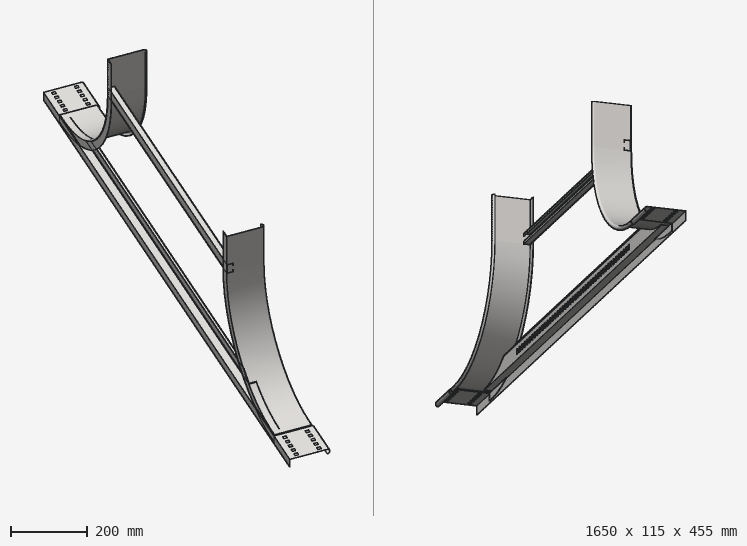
import cadquery as cq

SHEET = 1.5
RAIL_SHEET = 2.0
FLANGE_WIDTH = 25.0

LENGTH = 1650.0
DEPTH = 115.0
BASE_TOP = 26.0
BASE_CURL_RADIUS = 8.0
END_PLATE_LENGTH = 105.0

END_SLOT_COUNT = 5
END_SLOT_SPAN = 76.0
SLOT_WIDTH = 8.0
END_SLOT_DEPTH = 10.0
END_SLOT_OFFSET = 51.0
END_SLOT_ROWS = (25.0, 89.0)

WEB_BACK = 25.0
WEB_TOP = 70.0
WEB_FLANGE_TOP = WEB_TOP + FLANGE_WIDTH
WEB_SLOT_COUNT = 45
WEB_SLOT_SPAN = 881.0
WEB_SLOT_HEIGHT = 15.0

HEIGHT = 455.0
RAIL_X = 400.0
RAIL_RADIUS = 300.0
RAIL_FOOT_TOP = 30.0
RAIL_FRONT = SHEET
FITTING_FRONT = RAIL_FRONT + RAIL_SHEET
RAIL_BACK = 110.0
RAIL_CURL_RADIUS = 7.0
RAIL_FOOT_END = LENGTH / 2 - END_PLATE_LENGTH
BEND_X = RAIL_X + RAIL_RADIUS
BEND_Z = RAIL_FOOT_TOP + RAIL_RADIUS

RUNG_DEPTH = 18.0
RUNG_HEIGHT = 30.0
RUNG_LIP = 8.0
RUNG_HALF_LENGTH = RAIL_X - RAIL_SHEET


def side_section(x, front, back, top, bottom, curl_radius, sheet):
    """YZ section at x: a flange hanging at the front, a flat plate and a half-round curl at the back."""
    curl_y = back - curl_radius
    inner_radius = curl_radius - sheet
    curl_z = top - curl_radius
    return (
        cq.Workplane("YZ", origin=(x, 0, 0))
        .moveTo(front, top)
        .lineTo(curl_y, top)
        .threePointArc((back, curl_z), (curl_y, curl_z - curl_radius))
        .lineTo(curl_y, curl_z - inner_radius)
        .threePointArc((back - sheet, curl_z), (curl_y, top - sheet))
        .lineTo(front + sheet, top - sheet)
        .lineTo(front + sheet, bottom)
        .lineTo(front, bottom)
        .close()
    )


def bend_cylinder(side, radius, front, back):
    """Solid disc about the bend axis of one rail, between two Y positions."""
    return (
        cq.Workplane("XZ", origin=(side * BEND_X, front, BEND_Z))
        .circle(radius)
        .extrude(front - back)
    )


def make_left_end_plate():
    plate = side_section(-LENGTH / 2, 0, DEPTH, BASE_TOP, 0, BASE_CURL_RADIUS, SHEET).extrude(END_PLATE_LENGTH)
    first_x = -LENGTH / 2 + END_SLOT_OFFSET - END_SLOT_SPAN / 2
    pitch = END_SLOT_SPAN / (END_SLOT_COUNT - 1)
    slot_centres = [(first_x + pitch * i, y) for y in END_SLOT_ROWS for i in range(END_SLOT_COUNT)]
    slots = (
        cq.Workplane("XY", origin=(0, 0, BASE_TOP - SHEET))
        .pushPoints(slot_centres)
        .rect(SLOT_WIDTH, END_SLOT_DEPTH)
        .extrude(SHEET)
    )
    return plate.cut(slots)


def make_web():
    """Folded strip: shelf at the front flange, upright slotted web, ledge forward and upper flange."""
    web = (
        cq.Workplane("YZ", origin=(-BEND_X, 0, 0))
        .moveTo(0, BASE_TOP)
        .lineTo(WEB_BACK - SHEET, BASE_TOP)
        .lineTo(WEB_BACK - SHEET, WEB_TOP)
        .lineTo(FITTING_FRONT, WEB_TOP)
        .lineTo(FITTING_FRONT, WEB_FLANGE_TOP)
        .lineTo(FITTING_FRONT + SHEET, WEB_FLANGE_TOP)
        .lineTo(FITTING_FRONT + SHEET, WEB_TOP + SHEET)
        .lineTo(WEB_BACK, WEB_TOP + SHEET)
        .lineTo(WEB_BACK, BASE_TOP - SHEET)
        .lineTo(0, BASE_TOP - SHEET)
        .close()
        .extrude(2 * BEND_X)
    )
    for side in (-1, 1):
        web = web.cut(bend_cylinder(side, RAIL_RADIUS + RAIL_SHEET, 0, WEB_BACK))
        web = web.cut(bend_cylinder(side, RAIL_RADIUS + FLANGE_WIDTH, RAIL_FRONT, FITTING_FRONT))
    slots = (
        cq.Workplane("XZ", origin=(0, WEB_BACK, (BASE_TOP + WEB_TOP) / 2))
        .rarray(WEB_SLOT_SPAN / (WEB_SLOT_COUNT - 1), 16, WEB_SLOT_COUNT, 1)
        .rect(SLOT_WIDTH, WEB_SLOT_HEIGHT)
        .extrude(SHEET)
    )
    return web.cut(slots)


def make_base():
    flange = cq.Workplane("XY").box(LENGTH, SHEET, BASE_TOP, centered=(True, False, False))
    left_plate = make_left_end_plate()
    return flange.union(left_plate).union(left_plate.mirror("YZ")).union(make_web())


def make_left_rail():
    """Side section swept along a short level foot, a quarter bend and an upright stretch."""
    path = (
        cq.Workplane("XZ")
        .moveTo(-RAIL_FOOT_END, RAIL_FOOT_TOP)
        .lineTo(-BEND_X, RAIL_FOOT_TOP)
        .radiusArc((-RAIL_X, BEND_Z), -RAIL_RADIUS)
        .lineTo(-RAIL_X, HEIGHT)
    )
    section = side_section(
        -RAIL_FOOT_END,
        RAIL_FRONT,
        RAIL_BACK,
        RAIL_FOOT_TOP,
        RAIL_FOOT_TOP - FLANGE_WIDTH,
        RAIL_CURL_RADIUS,
        RAIL_SHEET,
    )
    return section.sweep(path)


def make_rung():
    """Channel open towards the back, with a lip on each edge of the opening."""
    bar = cq.Workplane("XY", origin=(0, FITTING_FRONT, BEND_Z)).box(
        2 * RUNG_HALF_LENGTH, RUNG_DEPTH, RUNG_HEIGHT, centered=(True, False, False)
    )
    tube = bar.faces("<X or >X").shell(-SHEET)
    opening = cq.Workplane(
        "XY", origin=(0, FITTING_FRONT + RUNG_DEPTH - SHEET, BEND_Z + RUNG_LIP)
    ).box(
        2 * RUNG_HALF_LENGTH, SHEET, RUNG_HEIGHT - 2 * RUNG_LIP, centered=(True, False, False)
    )
    return tube.cut(opening)


base = make_base()
left_rail = make_left_rail()
right_rail = left_rail.mirror("YZ")
rung = make_rung()

result = cq.Compound.makeCompound([base.val(), left_rail.val(), right_rail.val(), rung.val()])